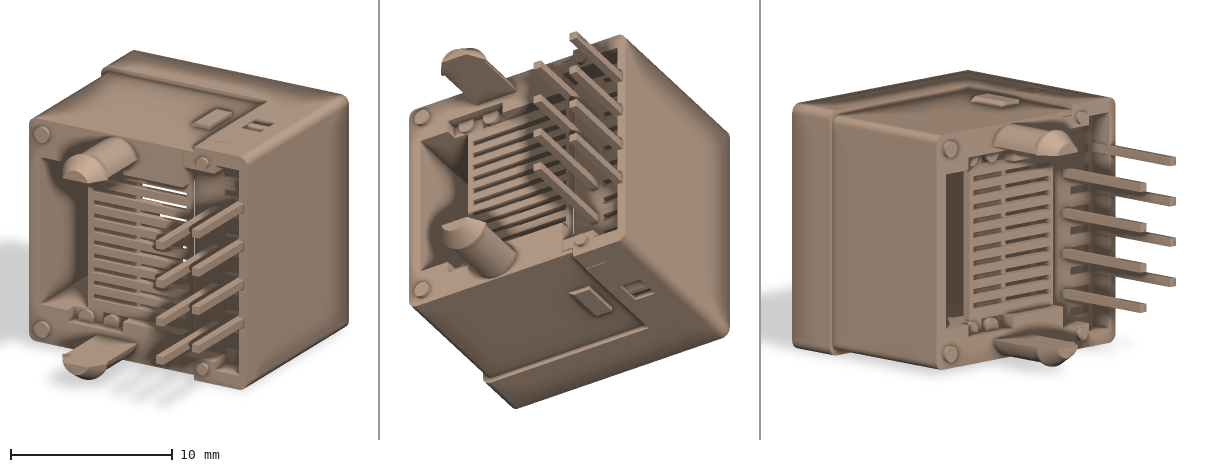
import cadquery as cq


WIDTH = 15.89
HALF_HEIGHT = 15.5 / 2
MOUTH_Y = 17.91
BOARD_Y = 5.48
FLANGE_Y = 14.6
CORNER_R = 0.57

STEP_X = 0.21
STEP_Z = 0.34
STEP_END_X = 12.04
STEP_CORNER_R = 0.5

WELL_X0 = 1.02
WELL_HALF = 4.89
WELL_END_Y = 7.8
PLUG_X0 = 3.95
PLUG_X1 = 10.75
PLUG_HALF = 5.85
LATCH_STEP_X = 2.31
LATCH_WIDE_HALF = 3.19
LATCH_NARROW_HALF = 2.02

CARRIER_X0 = 11.28
CARRIER_X1 = 15.31
CARRIER_Y = 6.93
CARRIER_HALF = 6.82
GAP = 0.05
TAB_X1 = 13.55
TAB_END_Y = 7.0
TAB_INNER_Z = 6.25
LIP_Z = 7.11
TAB_BOSS_X = 12.79
TAB_BOSS_D = 0.77
STANDOFF_H = 0.27

WINDOW_X0, WINDOW_X1 = 12.91, 14.33
WINDOW_Y0, WINDOW_Y1 = 9.76, 11.55
BUMP_CREST_Y0, BUMP_CREST_Y1 = 10.67, 10.96
BUMP_BASE_H = 0.6
BUMP_RAMP_H = 0.25

PIN_SIZE = 0.52
PIN_PITCH = 1.27
PIN_COUNT = 8
INNER_PIN_X = 12.85
OUTER_PIN_X = 15.42
SLOT_COUNT = 10
SLOT_X0, SLOT_X1 = 13.38, 14.97
SLOT_H = 0.52
SLOT_DEPTH = 0.45

COMB_Y = 6.34
COMB_T = 0.52
COMB_SLOT_COUNT = 10
COMB_SLOT_SPAN = 8.0
COMB_SLOT_PITCH = COMB_SLOT_SPAN / (COMB_SLOT_COUNT - 1)
COMB_SLOT_H = 0.38
COMB_SLOT_X0, COMB_SLOT_X1 = 4.28, 11.05
COMB_THROUGH_X = 7.45
COMB_BLIND_DEPTH = 0.35

NOTCH_X0, NOTCH_STEP_X, NOTCH_X1 = 3.0, 5.0, 6.97
NOTCH_HALF = 5.68
NOTCH_Y = 6.55
RIB_D = 1.02
RIB_Y = 6.09
LEVEL_RIB_X = 3.94
DEEP_RIB_X = 5.71
RIB_AXIS_Z = 5.43

POST_X = 6.57
POST_AXIS_Z = 5.82
POST_FLAT_Z = 6.1
POST_R = 1.49
POST_HEAD_R = 1.63
POST_TIP_R = 0.95
POST_HEAD_Y = 1.65
POST_CONE_Y = 1.47
POST_TIP_Y = 0.35
STANDOFF_X = 1.25
STANDOFF_Z = 6.47
STANDOFF_D = 1.02
WEDGE_X0, WEDGE_CREST_X, WEDGE_X1 = 9.51, 9.94, 11.05
WEDGE_Y0, WEDGE_Y1 = 9.12, 11.84
WEDGE_H = 0.3


def block(x0, x1, y0, y1, z0, z1):
    """Box between two opposite corners."""
    return cq.Workplane("XY").box(x1 - x0, y1 - y0, z1 - z0, centered=False).translate((x0, y0, z0))


def centered_block(x0, x1, y0, y1, half):
    """Box that is symmetric about Z = 0."""
    return block(x0, x1, y0, y1, -half, half)


def cylinder_y(x, z, diameter, y0, y1):
    """Cylinder along Y."""
    disc = cq.Workplane("XZ", origin=(x, y0, z)).circle(diameter / 2)
    return disc.extrude(y0 - y1)


def both_sides(shape):
    """The shape together with its mirror image below Z = 0."""
    return [shape, shape.mirror("XY")]


def row_z(count, pitch):
    """Heights of an evenly spaced row centred on Z = 0."""
    return [(i - (count - 1) / 2) * pitch for i in range(count)]


def add_both(body, shape):
    """Body with the shape and its mirror image added."""
    for copy in both_sides(shape):
        body = body.union(copy)
    return body


def cut_both(body, shape):
    """Body with the shape and its mirror image removed."""
    for copy in both_sides(shape):
        body = body.cut(copy)
    return body


def pin(index, z):
    """Straight square pin; even pins stand in the inner row and odd ones in the outer row."""
    x = INNER_PIN_X if index % 2 == 0 else OUTER_PIN_X
    half = PIN_SIZE / 2
    return block(x - half, x + half, 0, CARRIER_Y, z - half, z + half)


pins = [pin(i, z) for i, z in enumerate(row_z(PIN_COUNT, PIN_PITCH))]


def shell_outline():
    """Rounded block whose -X part is stepped in behind the flange."""
    outer = centered_block(0, WIDTH, BOARD_Y, MOUTH_Y, HALF_HEIGHT).edges("|Y").fillet(CORNER_R)
    inner_half = HALF_HEIGHT - STEP_Z
    inner = centered_block(STEP_X, WIDTH, BOARD_Y, FLANGE_Y, inner_half)
    inner = inner.edges("|Y and <X").fillet(STEP_CORNER_R)
    stepped_zone = centered_block(0, STEP_END_X, BOARD_Y, FLANGE_Y, HALF_HEIGHT)
    return outer.cut(stepped_zone.cut(inner))


def plug_cavity():
    """Board-side well, latch channel, plug body and the stepped latch mouth."""
    well = centered_block(WELL_X0, CARRIER_X0, BOARD_Y, WELL_END_Y, WELL_HALF)
    latch_channel = centered_block(WELL_X0, PLUG_X0, BOARD_Y, FLANGE_Y, WELL_HALF)
    plug = centered_block(PLUG_X0, PLUG_X1, WELL_END_Y, MOUTH_Y, PLUG_HALF)
    wide_mouth = centered_block(LATCH_STEP_X, PLUG_X0, FLANGE_Y, MOUTH_Y, LATCH_WIDE_HALF)
    narrow_mouth = centered_block(WELL_X0, LATCH_STEP_X, FLANGE_Y, MOUTH_Y, LATCH_NARROW_HALF)
    return well.union(latch_channel).union(plug).union(wide_mouth).union(narrow_mouth)


def tab_recess():
    """Seat for the upper carrier tab, passing under the lip of the stepped part."""
    end_y = TAB_END_Y + GAP
    under_lip = block(CARRIER_X0, STEP_END_X, BOARD_Y, end_y, TAB_INNER_Z, LIP_Z)
    open_part = block(STEP_END_X, TAB_X1, BOARD_Y, end_y, TAB_INNER_Z, HALF_HEIGHT)
    return under_lip.union(open_part)


def comb_plate():
    """Contact guide across the well, with a row of slots that are partly blind."""
    back_y = COMB_Y + COMB_T
    blind_y = COMB_Y + COMB_BLIND_DEPTH
    comb = centered_block(PLUG_X0, CARRIER_X0, COMB_Y, back_y, WELL_HALF)
    for z in row_z(COMB_SLOT_COUNT, COMB_SLOT_PITCH):
        low = z - COMB_SLOT_H / 2
        high = z + COMB_SLOT_H / 2
        comb = comb.cut(block(COMB_SLOT_X0, COMB_THROUGH_X, COMB_Y, blind_y, low, high))
        comb = comb.cut(block(COMB_THROUGH_X, COMB_SLOT_X1, COMB_Y, back_y, low, high))
    return comb


def well_notch():
    """Notch beside the well: level with the comb at the -X end, deeper towards +X."""
    level_part = block(NOTCH_X0, NOTCH_STEP_X, BOARD_Y, COMB_Y, WELL_HALF, NOTCH_HALF)
    deep_part = block(NOTCH_STEP_X, NOTCH_X1, BOARD_Y, NOTCH_Y, WELL_HALF, NOTCH_HALF)
    return level_part.union(deep_part)


def notch_rib(x, back_y):
    """Rib with a rounded inner side that stands against the notch wall and ends at back_y."""
    radius = RIB_D / 2
    round_side = cylinder_y(x, RIB_AXIS_Z, RIB_D, RIB_Y, back_y)
    return round_side.union(block(x - radius, x + radius, RIB_Y, back_y, RIB_AXIS_Z, NOTCH_HALF))


def mounting_post():
    """Half-round post with a larger conical snap head."""
    profile = [
        (0, BOARD_Y),
        (POST_R, BOARD_Y),
        (POST_R, POST_HEAD_Y),
        (POST_HEAD_R, POST_HEAD_Y),
        (POST_HEAD_R, POST_CONE_Y),
        (POST_TIP_R, POST_TIP_Y),
        (0, POST_TIP_Y),
    ]
    full = cq.Workplane("XY").polyline(profile).close().revolve(360, (0, 0, 0), (0, 1, 0))
    full = full.translate((POST_X, 0, POST_AXIS_Z))
    kept_half = block(0, WIDTH, 0, BOARD_Y, POST_FLAT_Z, HALF_HEIGHT)
    return full.intersect(kept_half)


def side_wedge():
    """Low ramp on the stepped top face."""
    base_z = HALF_HEIGHT - STEP_Z
    profile = [
        (WEDGE_X0, base_z),
        (WEDGE_CREST_X, base_z + WEDGE_H),
        (WEDGE_X1, base_z + WEDGE_H),
        (WEDGE_X1, base_z),
    ]
    ramp = cq.Workplane("XZ", origin=(0, WEDGE_Y0, 0)).polyline(profile).close()
    return ramp.extrude(WEDGE_Y0 - WEDGE_Y1)


def make_shell():
    shell = shell_outline().cut(plug_cavity()).union(comb_plate())
    shell = shell.cut(centered_block(CARRIER_X0, CARRIER_X1, BOARD_Y, FLANGE_Y, CARRIER_HALF))
    window = block(WINDOW_X0, WINDOW_X1, WINDOW_Y0, WINDOW_Y1, CARRIER_HALF, HALF_HEIGHT)
    for opening in (tab_recess(), window, well_notch()):
        shell = cut_both(shell, opening)
    for outer_pin in pins[1::2]:
        shell = shell.cut(outer_pin)
    standoff = cylinder_y(STANDOFF_X, STANDOFF_Z, STANDOFF_D, BOARD_Y - STANDOFF_H, BOARD_Y)
    level_rib = notch_rib(LEVEL_RIB_X, COMB_Y)
    deep_rib = notch_rib(DEEP_RIB_X, NOTCH_Y)
    for feature in (level_rib, deep_rib, mounting_post(), standoff, side_wedge()):
        shell = add_both(shell, feature)
    return shell


def carrier_tab():
    """Stepped tab that hooks under the shell lip, with a round boss on the board side."""
    hook = block(CARRIER_X0 + GAP, STEP_END_X + GAP, BOARD_Y, TAB_END_Y, TAB_INNER_Z, LIP_Z - GAP)
    body = block(STEP_END_X + GAP, TAB_X1, BOARD_Y, TAB_END_Y, TAB_INNER_Z, HALF_HEIGHT)
    boss = cylinder_y(TAB_BOSS_X, CARRIER_HALF, TAB_BOSS_D, BOARD_Y - STANDOFF_H, BOARD_Y)
    return hook.union(body).union(boss)


def snap_bump():
    """Block with a two-sided ramp on top that catches in the shell window."""
    ramp_z = CARRIER_HALF + BUMP_BASE_H
    crest_z = ramp_z + BUMP_RAMP_H
    profile = [
        (WINDOW_Y0 + GAP, CARRIER_HALF),
        (WINDOW_Y0 + GAP, ramp_z),
        (BUMP_CREST_Y0, crest_z),
        (BUMP_CREST_Y1, crest_z),
        (WINDOW_Y1 - GAP, ramp_z),
        (WINDOW_Y1 - GAP, CARRIER_HALF),
    ]
    side = cq.Workplane("YZ", origin=(WINDOW_X0 + GAP, 0, 0)).polyline(profile).close()
    return side.extrude(WINDOW_X1 - WINDOW_X0 - 2 * GAP)


def make_carrier():
    carrier = centered_block(CARRIER_X0, CARRIER_X1, CARRIER_Y, FLANGE_Y, CARRIER_HALF)
    for z in row_z(SLOT_COUNT, PIN_PITCH):
        low = z - SLOT_H / 2
        high = z + SLOT_H / 2
        carrier = carrier.cut(block(SLOT_X0, SLOT_X1, CARRIER_Y, CARRIER_Y + SLOT_DEPTH, low, high))
    carrier = add_both(carrier, carrier_tab())
    carrier = add_both(carrier, snap_bump())
    for contact_pin in pins:
        carrier = carrier.union(contact_pin)
    return carrier


shell = make_shell()
carrier = make_carrier()

result = cq.Compound.makeCompound([shell.solids().val(), carrier.solids().val()])